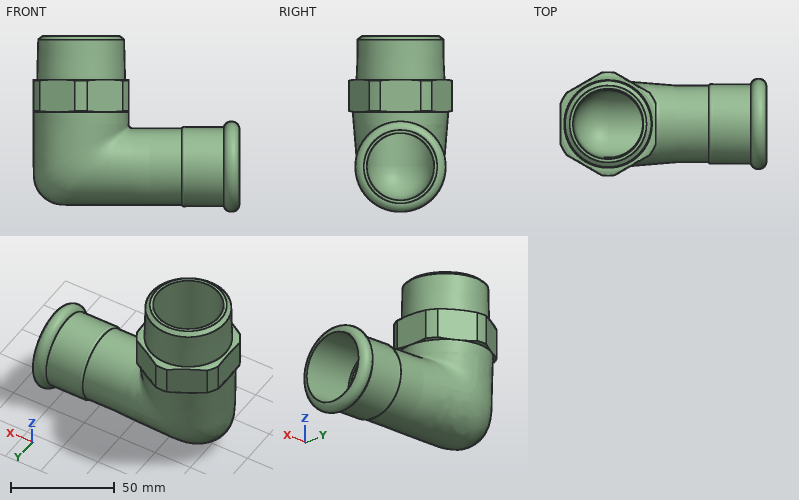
import cadquery as cq
import math


overall_length = 99.3

thread_top_z = 63.0
thread_tip_diameter = 37.0
thread_small_diameter = 41.5
thread_large_diameter = 42.4
thread_chamfer_height = 1.8
thread_bore_diameter = 34.0
thread_base_z = 43.4

hex_sides = 6
hex_top_z = 41.9
hex_bottom_z = 26.3
hex_across_flats = 46.0
hex_corner_diameter = 49.9
hex_chamfer_height = 0.5

collar_bottom_z = 25.1
elbow_end_x = 33.0
tube_diameter = 37.0
elbow_outer_bend_radius = 14.9
elbow_inner_fillet = 1.7
elbow_fan_sections = 15
bend_bore_diameter = 32.4

socket_start_x = 48.4
socket_full_x = 50.2
socket_diameter = 38.4
step_bulge_along = 0.3
step_bulge_rise = 0.75
socket_bore_diameter = 35.4
bead_pitch_diameter = 35.8
bead_outer_diameter = 43.7

collar_radius = hex_across_flats / 2
tube_radius = tube_diameter / 2
thread_bore_radius = thread_bore_diameter / 2
bend_bore_radius = bend_bore_diameter / 2
hex_corner_radius = hex_corner_diameter / 2
socket_end_x = overall_length - collar_radius
bead_radius = (bead_outer_diameter - bead_pitch_diameter) / 2
bead_x = socket_end_x - bead_radius


def make_thread():
    """Tapered thread blank with a chamfered tip, standing on the hexagon."""
    chamfer_z = thread_top_z - thread_chamfer_height
    profile = [
        (0, hex_bottom_z),
        (thread_large_diameter / 2, hex_bottom_z),
        (thread_large_diameter / 2, thread_base_z),
        (thread_small_diameter / 2, chamfer_z),
        (thread_tip_diameter / 2, thread_top_z),
        (0, thread_top_z),
    ]
    return cq.Workplane("XZ").polyline(profile).close().revolve(360, (0, 0), (0, 1))


def make_hexagon():
    """Hexagon with flats facing +X and -X, its corners turned and chamfered."""
    across_corners = hex_across_flats / math.cos(math.pi / hex_sides)
    prism = (
        cq.Workplane("XY", origin=(0, 0, hex_bottom_z))
        .transformed(rotate=(0, 0, 180 / hex_sides))
        .polygon(hex_sides, across_corners)
        .extrude(hex_top_z - hex_bottom_z)
    )
    turned_profile = [
        (0, hex_bottom_z),
        (collar_radius, hex_bottom_z),
        (hex_corner_radius, hex_bottom_z + hex_chamfer_height),
        (hex_corner_radius, hex_top_z - hex_chamfer_height),
        (collar_radius, hex_top_z),
        (0, hex_top_z),
    ]
    turned = cq.Workplane("XZ").polyline(turned_profile).close().revolve(360, (0, 0), (0, 1))
    return prism.intersect(turned)


def reach_to_outer_wall(pivot_x, pivot_z, angle):
    """Distance from the pivot to the rounded outer corner of the elbow.

    The angle is 0 towards -X and 90 degrees towards -Z.
    """
    arc_x = -collar_radius + elbow_outer_bend_radius
    arc_z = -tube_radius + elbow_outer_bend_radius
    step_x = -math.cos(angle)
    step_z = -math.sin(angle)
    if step_x < 0:
        reach = (-collar_radius - pivot_x) / step_x
        if pivot_z + reach * step_z >= arc_z:
            return reach
    if step_z < 0:
        reach = (-tube_radius - pivot_z) / step_z
        if pivot_x + reach * step_x >= arc_x:
            return reach
    along = (arc_x - pivot_x) * step_x + (arc_z - pivot_z) * step_z
    offset_squared = (arc_x - pivot_x) ** 2 + (arc_z - pivot_z) ** 2 - along**2
    return along + math.sqrt(elbow_outer_bend_radius**2 - offset_squared)


def ellipse_wire(center_x, center_z, angle, radius_in_plane, radius_y):
    """Elliptical section across the elbow, turned about Y by the fan angle."""
    plane = cq.Plane(
        origin=(center_x, 0, center_z),
        xDir=(-math.cos(angle), 0, -math.sin(angle)),
        normal=(math.sin(angle), 0, -math.cos(angle)),
    )
    return cq.Workplane(plane).ellipse(radius_in_plane, radius_y).wire().val()


def make_elbow():
    """Elbow: a bend lofted through ellipses that fan about the inner fillet centre,
    with a short straight length at each end.
    """
    pivot_x = collar_radius + elbow_inner_fillet
    pivot_z = tube_radius + elbow_inner_fillet
    quarter_turn = math.pi / 2
    sections = []
    for i in range(elbow_fan_sections):
        fraction = i / (elbow_fan_sections - 1)
        angle = fraction * quarter_turn
        reach = reach_to_outer_wall(pivot_x, pivot_z, angle)
        middle = (reach + elbow_inner_fillet) / 2
        center_x = pivot_x - middle * math.cos(angle)
        center_z = pivot_z - middle * math.sin(angle)
        sections.append((center_x, center_z, angle, (reach - elbow_inner_fillet) / 2))
    sections.insert(0, (0, collar_bottom_z, 0, collar_radius))
    sections.append((elbow_end_x, 0, quarter_turn, tube_radius))

    distances = [0]
    for last, this in zip(sections, sections[1:]):
        distances.append(distances[-1] + math.hypot(this[0] - last[0], this[1] - last[1]))
    wires = []
    for section, distance in zip(sections, distances):
        narrowing = (collar_radius - tube_radius) * distance / distances[-1]
        wires.append(ellipse_wire(*section, collar_radius - narrowing))
    upright = cq.Workplane(cq.Solid.makeLoft(wires[:2], True))
    bend = cq.Workplane(cq.Solid.makeLoft(wires[1:-1]))
    branch = cq.Workplane(cq.Solid.makeLoft(wires[-2:], True))
    return upright.union(bend).union(branch)


def make_collar():
    """Short round collar between the hexagon and the elbow."""
    height = hex_bottom_z - collar_bottom_z
    return cq.Workplane("XY", origin=(0, 0, collar_bottom_z)).circle(collar_radius).extrude(height)


def make_socket():
    """Tube, rounded step up to the socket, and the bead around its mouth."""
    socket_radius = socket_diameter / 2
    step_height = socket_radius - tube_radius
    step_length = socket_full_x - socket_start_x
    step_bulge = (
        socket_start_x + step_length * step_bulge_along,
        tube_radius + step_height * step_bulge_rise,
    )
    barrel = (
        cq.Workplane("XZ")
        .moveTo(elbow_end_x, 0)
        .lineTo(elbow_end_x, tube_radius)
        .lineTo(socket_start_x, tube_radius)
        .threePointArc(step_bulge, (socket_full_x, socket_radius))
        .lineTo(bead_x, socket_radius)
        .lineTo(bead_x, 0)
        .close()
        .revolve(360, (0, 0), (1, 0))
    )
    bead_pitch_radius = bead_pitch_diameter / 2
    bead = (
        cq.Workplane("XZ")
        .center(bead_x, bead_pitch_radius)
        .circle(bead_radius)
        .revolve(360, (0, -bead_pitch_radius), (1, -bead_pitch_radius))
    )
    return barrel.union(bead)


def make_bore():
    """Passage: thread bore, taper into a ball-shaped corner, tube and socket."""
    upright_profile = [
        (0, 0),
        (bend_bore_radius, 0),
        (thread_bore_radius, collar_bottom_z),
        (thread_bore_radius, thread_top_z),
        (0, thread_top_z),
    ]
    upright = cq.Workplane("XZ").polyline(upright_profile).close().revolve(360, (0, 0), (0, 1))
    corner = cq.Workplane("XY").sphere(bend_bore_radius)
    tube = cq.Workplane("YZ").circle(bend_bore_radius).extrude(socket_end_x)
    socket = (
        cq.Workplane("YZ", origin=(socket_start_x, 0, 0))
        .circle(socket_bore_diameter / 2)
        .extrude(socket_end_x - socket_start_x)
    )
    return upright.union(corner).union(tube).union(socket)


body = make_elbow().union(make_collar()).union(make_hexagon()).union(make_thread())
result = body.union(make_socket()).cut(make_bore())